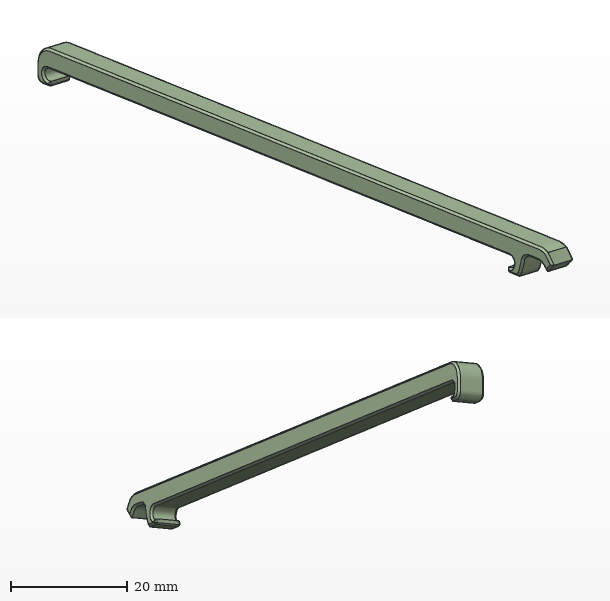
import cadquery as cq
import math

length = 135.3
width = 5.0
height = 7.0
edge_chamfer = 0.4

bar_bottom = 3.2
left_shoulder_radius = 3.5

heel_radius = 1.4
lip_top = 1.0
pocket_edge = 2.8
pocket_wall = 1.8
lip_end = 3.4
lip_corner = 0.3
hook_mirror_sum = 126.8
pocket_z = (bar_bottom + lip_top) / 2

right_foot_bottom = 126.3
right_foot_side = 126.8
right_foot_side_z = 0.8
throat_x = 127.5
throat_z = 2.8
tab_bottom = 4.5
tab_flat_start = 129.1
tab_flat_end = 131.4
tab_top_flat_end = 131.7
tab_bend_radius = 4.0
tab_bend_angle = 30.0
tab_tip_z = 4.6
tab_thickness = 2.3
inner_bend_radius = 1.9
inner_bend_angle = 45.0

diagonal = math.sqrt(0.5)


def bend_point(start_x, top_z, radius, angle):
    """Point reached after turning down from a flat by an angle in degrees."""
    turn = math.radians(angle)
    return start_x + radius * math.sin(turn), top_z - radius * (1 - math.cos(turn))


def mirrored(x):
    """X on the right hook matching an X on the left hook."""
    return hook_mirror_sum - x


tab_tip = (length, tab_tip_z)
tab_heel = (length - tab_thickness * diagonal, tab_tip_z - tab_thickness * diagonal)
shoulder_mid = bend_point(left_shoulder_radius, height, left_shoulder_radius, -45)
heel_mid = heel_radius * (1 - diagonal)

profile = (
    cq.Workplane("XZ")
    .moveTo(left_shoulder_radius, height)
    .lineTo(tab_top_flat_end, height)
    .threePointArc(
        bend_point(tab_top_flat_end, height, tab_bend_radius, tab_bend_angle / 2),
        bend_point(tab_top_flat_end, height, tab_bend_radius, tab_bend_angle),
    )
    .lineTo(*tab_tip)
    .lineTo(*tab_heel)
    .lineTo(*bend_point(tab_flat_end, tab_bottom, inner_bend_radius, inner_bend_angle))
    .threePointArc(
        bend_point(tab_flat_end, tab_bottom, inner_bend_radius, inner_bend_angle / 2),
        (tab_flat_end, tab_bottom),
    )
    .lineTo(tab_flat_start, tab_bottom)
    .tangentArcPoint((throat_x, throat_z), relative=False)
    .lineTo(right_foot_side, right_foot_side_z)
    .lineTo(right_foot_bottom, 0)
    .lineTo(mirrored(lip_end - lip_corner), 0)
    .lineTo(mirrored(lip_end), lip_corner)
    .lineTo(mirrored(lip_end), lip_top)
    .lineTo(mirrored(pocket_edge), lip_top)
    .threePointArc((mirrored(pocket_wall), pocket_z), (mirrored(pocket_edge), bar_bottom))
    .lineTo(pocket_edge, bar_bottom)
    .threePointArc((pocket_wall, pocket_z), (pocket_edge, lip_top))
    .lineTo(lip_end, lip_top)
    .lineTo(lip_end, lip_corner)
    .lineTo(lip_end - lip_corner, 0)
    .lineTo(heel_radius, 0)
    .threePointArc((heel_mid, heel_mid), (0, heel_radius))
    .lineTo(0, height - left_shoulder_radius)
    .threePointArc(shoulder_mid, (left_shoulder_radius, height))
    .close()
)

bar = profile.extrude(width / 2, both=True)
result = bar.faces("<Y or >Y").edges().chamfer(edge_chamfer)